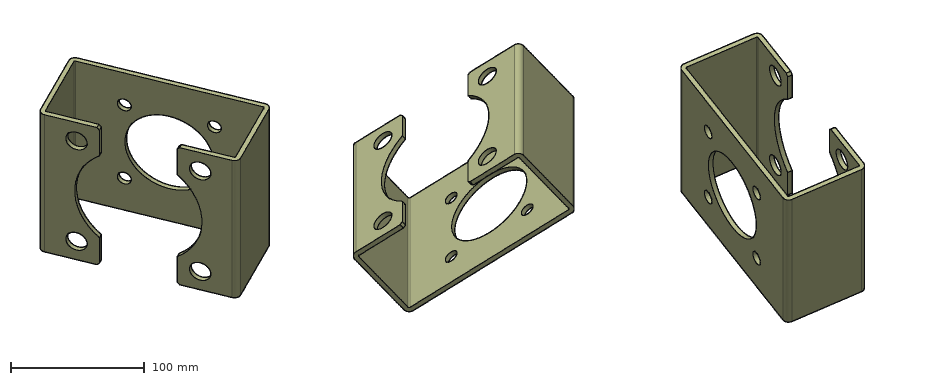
import cadquery as cq

width = 160.0
depth = 70.0
height = 135.0
thickness = 4.0

outer_bend_radius = 5.0
inner_bend_radius = outer_bend_radius - thickness

lip_gap = 62.0
lip_corner_chamfer = 2.0
lip_cutout_radius = 50.9
lip_hole_diameter = 17.0
lip_hole_spacing = 98.9

bore_diameter = 71.0
mount_hole_diameter = 11.0
mount_hole_spacing = 72.0


def folded_channel():
    """C-shaped channel with rounded bends, open between the two front lips."""
    outer = cq.Workplane("XY").box(width, depth, height).edges("|Z").fillet(outer_bend_radius)
    inner = (
        cq.Workplane("XY")
        .box(width - 2 * thickness, depth - 2 * thickness, height)
        .edges("|Z")
        .fillet(inner_bend_radius)
    )
    opening = cq.Workplane("XY").box(lip_gap, depth / 2, height).translate((0, -depth / 2, 0))
    return outer.cut(inner).cut(opening)


def chamfer_lip_corners(body):
    """Chamfer the top and bottom free corners of both lips."""
    half_gap = lip_gap / 2 + thickness
    lip_ends = cq.selectors.BoxSelector(
        (-half_gap, -depth / 2 - thickness, -height),
        (half_gap, -depth / 2 + 2 * thickness, height),
    )
    return body.edges("|Y").edges(lip_ends).chamfer(lip_corner_chamfer)


def front_cutter(diameter):
    """Cylinder along Y that passes through the front lips only."""
    return cq.Workplane("XZ").circle(diameter / 2).extrude(depth)


def back_cutter(diameter):
    """Cylinder along Y that passes through the back wall only."""
    return cq.Workplane("XZ").circle(diameter / 2).extrude(-depth)


def cut_square_pattern(body, cutter, spacing):
    """Cut four copies of the cutter, centred on the Y axis."""
    for x in (-spacing / 2, spacing / 2):
        for z in (-spacing / 2, spacing / 2):
            body = body.cut(cutter.translate((x, 0, z)))
    return body


result = chamfer_lip_corners(folded_channel())
result = result.cut(front_cutter(2 * lip_cutout_radius))
result = cut_square_pattern(result, front_cutter(lip_hole_diameter), lip_hole_spacing)
result = result.cut(back_cutter(bore_diameter))
result = cut_square_pattern(result, back_cutter(mount_hole_diameter), mount_hole_spacing)